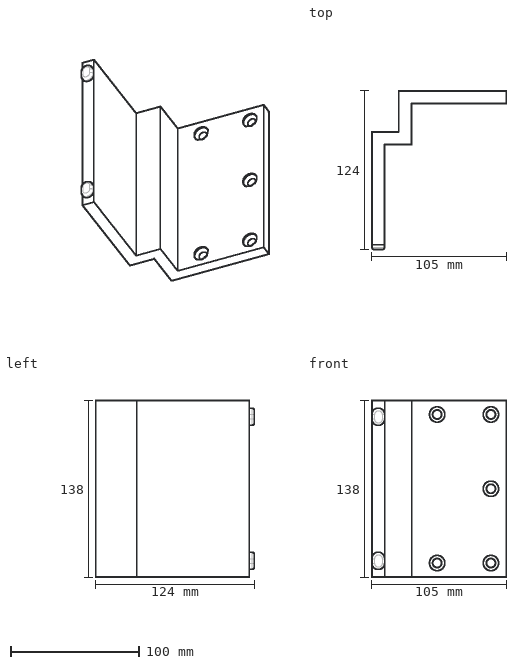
import cadquery as cq

height = 138.0
total_width = 105.0
plate_depth = 120.0
wall_thickness = 10.0
step_width = 21.0
step_depth = 32.0

hole_diameter = 6.9
countersink_diameter = 12.0
countersink_angle = 90.0
recess_depth = 1.3
hole_end_margin = 11.0
hole_side_margin = 12.0
hole_spacing_x = 42.0

pad_width = wall_thickness
pad_length = 13.5
pad_height = 4.0
pad_edge_radius = 2.0
pad_end_margin = 12.75

back_y = plate_depth
flange_front_y = back_y - wall_thickness
step_back_y = back_y - step_depth
step_front_y = step_back_y - wall_thickness


def make_bracket():
    """Z-section bracket with five recessed, countersunk holes in its flange."""
    outline = [
        (0, 0),
        (wall_thickness, 0),
        (wall_thickness, step_front_y),
        (step_width + wall_thickness, step_front_y),
        (step_width + wall_thickness, flange_front_y),
        (total_width, flange_front_y),
        (total_width, back_y),
        (step_width, back_y),
        (step_width, step_back_y),
        (0, step_back_y),
    ]
    body = cq.Workplane("XY").polyline(outline).close().extrude(height)

    outer_x = total_width - hole_side_margin
    inner_x = outer_x - hole_spacing_x
    low_z = hole_end_margin
    high_z = height - hole_end_margin
    hole_places = [
        (inner_x, low_z),
        (inner_x, high_z),
        (outer_x, low_z),
        (outer_x, height / 2),
        (outer_x, high_z),
    ]
    recess_floor_y = flange_front_y + recess_depth
    return (
        body.copyWorkplane(cq.Workplane("XZ", origin=(0, recess_floor_y, 0)))
        .pushPoints(hole_places)
        .cskHole(hole_diameter, countersink_diameter, countersink_angle)
        .copyWorkplane(cq.Workplane("XZ", origin=(0, flange_front_y, 0)))
        .pushPoints(hole_places)
        .circle(countersink_diameter / 2)
        .cutBlind(-recess_depth)
    )


def make_pad(center_z):
    """Slot-shaped pad standing on the leg edge, rounded around its outer face."""
    return (
        cq.Workplane("XZ", origin=(pad_width / 2, 0, center_z))
        .slot2D(pad_length, pad_width, angle=90)
        .extrude(pad_height)
        .faces("<Y")
        .edges()
        .fillet(pad_edge_radius)
    )


bracket = make_bracket()
pads = [make_pad(z) for z in (pad_end_margin, height - pad_end_margin)]

result = cq.Compound.makeCompound([bracket.val(), *[pad.val() for pad in pads]])